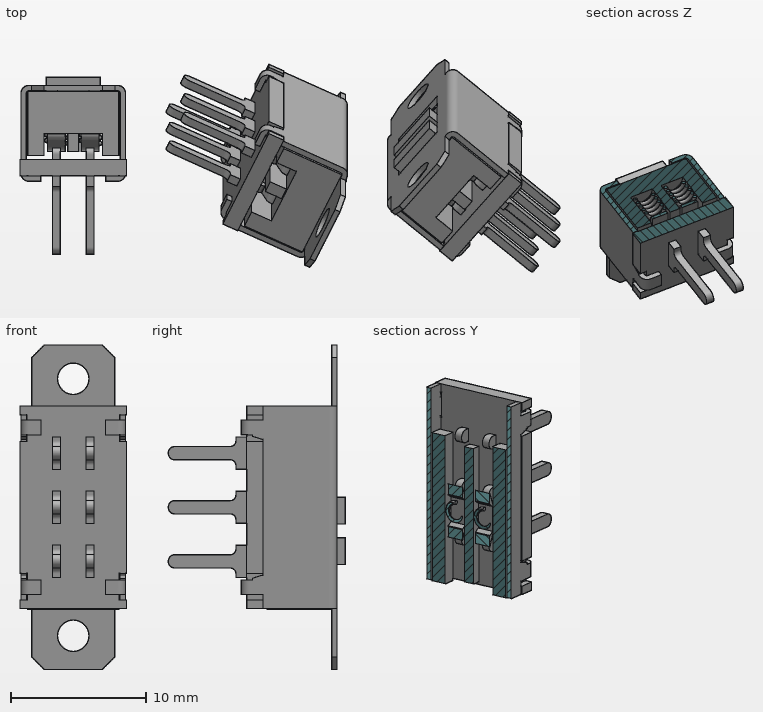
import cadquery as cq
import math


base_width = 7.9
base_length = 15.0
base_thickness = 1.22

pin_column_x = 1.25
pin_pitch = 4.0
pin_thickness = 0.6
pin_width = 1.0
pin_length = 5.8
pin_tip_radius = 0.49
pin_inner_reach = 0.85
shoulder_width = 2.4
shoulder_height = 0.8
shoulder_fillet = 0.4

sheet = 0.41
shell_width = 7.75
shell_back = 6.7
bend_radius = 0.6
ear_width = 6.15
ear_reach = 12.0
ear_chamfer = 0.93
ear_hole_diameter = 2.3
ear_hole_z = 9.5
window_width = 4.4
window_length = 8.6

tab_inner_z = 5.36
tab_outer_z = 6.46
tab_root_z = 5.0
tab_slope_end_z = 5.25
tab_slope_end_y = 0.43
tab_tip_x = 2.4
notch_inner_z = 4.88
notch_outer_z = 6.84
notch_floor_x = 3.41

slider_z = -1.75
slider_width = 6.74
slider_length = 11.6
slider_front = 1.5
slider_back = 6.25
channel_width = 4.3
channel_ceiling = 3.12
rib_width = 0.84
rib_front = 1.8
rib_inset = 0.5
knob_width = 4.0
knob_length = 5.0
knob_gap = 1.0
knob_top = 7.3

clip_width = 1.32
clip_sheet = 0.3
clip_dip_half = 0.97
clip_throat_half = 1.2
clip_dip_y = rib_front
clip_wing_start_y = 2.12
clip_wing_end_y = 2.57
clip_wing_end = 2.4
clip_tip = 2.8
clip_tip_y = 3.1

wire_diameter = 0.3
spring_diameter = 1.7
spring_pitch = 0.42
spring_turns = 5
spring_clearance = 0.05

shell_inner_x = shell_width / 2 - sheet
inner_bend_radius = bend_radius - sheet

spring_column_x = (channel_width + rib_width) / 4
clip_top = clip_dip_y + clip_sheet
spring_start = clip_top + wire_diameter / 2 + spring_clearance
pocket_floor = spring_start + spring_turns * spring_pitch + wire_diameter / 2 + spring_clearance


def box(x0, x1, y0, y1, z0, z1):
    """Axis-aligned block between two opposite corners."""
    return cq.Workplane("XY").box(x1 - x0, y1 - y0, z1 - z0, centered=False).translate((x0, y0, z0))


def side_profile(x):
    """Workplane at the given X whose sketch axes are the part's Y and Z."""
    return cq.Workplane("YZ", origin=(x, 0, 0))


def back_plane():
    """Workplane on the outer back face of the shell, extruding into the sheet."""
    return cq.Workplane("XZ", origin=(0, shell_back, 0))


def make_shell():
    half = shell_width / 2
    outer = box(-half, half, base_thickness, shell_back, -base_length / 2, base_length / 2)
    outer = outer.edges("|Z and >Y").fillet(bend_radius)
    inner_back = shell_back - sheet
    inner = box(-shell_inner_x, shell_inner_x, 0, inner_back, -base_length, base_length)
    inner = inner.edges("|Z and >Y").fillet(inner_bend_radius)
    shell = outer.cut(inner)

    ears = back_plane().rect(ear_width, 2 * ear_reach).extrude(sheet).edges("|Y").chamfer(ear_chamfer)
    hole_centers = [(0, ear_hole_z), (0, -ear_hole_z)]
    ear_holes = back_plane().pushPoints(hole_centers).circle(ear_hole_diameter / 2).extrude(sheet)
    window = back_plane().rect(window_width, window_length).extrude(sheet)
    shell = shell.union(ears).cut(ear_holes).cut(window)

    tab = make_tab()
    pair = tab.union(tab.mirror("YZ"))
    return shell.union(pair).union(pair.mirror("XY"))


def make_tab():
    """Tab of the -X wall near the +Z end, bent over the terminal face of the base."""
    wall_x = -shell_width / 2
    bend_x = wall_x + bend_radius
    diagonal = math.sqrt(0.5)
    root = (
        side_profile(wall_x)
        .moveTo(base_thickness, tab_root_z)
        .lineTo(tab_slope_end_y, tab_slope_end_z)
        .lineTo(tab_slope_end_y, tab_inner_z)
        .lineTo(inner_bend_radius, tab_inner_z)
        .lineTo(inner_bend_radius, tab_outer_z)
        .lineTo(base_thickness, tab_outer_z)
        .close()
        .extrude(sheet)
    )
    bend = (
        cq.Workplane("XY", origin=(0, 0, tab_inner_z))
        .moveTo(wall_x, inner_bend_radius)
        .threePointArc(
            (bend_x - bend_radius * diagonal, inner_bend_radius - bend_radius * diagonal), (bend_x, -sheet)
        )
        .lineTo(-tab_tip_x, -sheet)
        .lineTo(-tab_tip_x, 0)
        .lineTo(bend_x, 0)
        .threePointArc(
            (bend_x - inner_bend_radius * diagonal, inner_bend_radius - inner_bend_radius * diagonal),
            (wall_x + sheet, inner_bend_radius),
        )
        .close()
        .extrude(tab_outer_z - tab_inner_z)
    )
    return root.union(bend)


def make_pin(x, z):
    """Flat terminal with rounded ends and a filleted shoulder outside the base."""
    inner_end = base_thickness + pin_inner_reach
    blade = (
        side_profile(x)
        .center((inner_end - pin_length) / 2, 0)
        .rect(inner_end + pin_length, pin_width)
        .extrude(pin_thickness / 2, both=True)
        .edges("|X")
        .fillet(pin_tip_radius)
    )
    shoulder_mid_y = (base_thickness - shoulder_height) / 2
    shoulder = (
        side_profile(x)
        .center(shoulder_mid_y, 0)
        .rect(base_thickness + shoulder_height, shoulder_width)
        .extrude(pin_thickness / 2, both=True)
    )
    corner_zone = cq.selectors.BoxSelector(
        (x - pin_thickness, -shoulder_height - shoulder_fillet, -pin_width),
        (x + pin_thickness, -shoulder_height + shoulder_fillet, pin_width),
    )
    pin = blade.union(shoulder).edges(corner_zone).edges("|X").fillet(shoulder_fillet)
    return pin.translate((0, 0, z))


def make_base(shell):
    base = box(-base_width / 2, base_width / 2, 0, base_thickness, -base_length / 2, base_length / 2)
    for side in (-1, 1):
        for end in (-1, 1):
            notch = cq.Workplane("XY").box(
                base_width / 2 - notch_floor_x, base_thickness, notch_outer_z - notch_inner_z
            )
            notch_x = side * (base_width / 2 + notch_floor_x) / 2
            notch_z = end * (notch_inner_z + notch_outer_z) / 2
            base = base.cut(notch.translate((notch_x, base_thickness / 2, notch_z)))
    base = base.cut(shell)
    for x in (-pin_column_x, pin_column_x):
        for row in (-1, 0, 1):
            base = base.union(make_pin(x, row * pin_pitch))
    return base


def make_slider():
    z0 = slider_z - slider_length / 2
    z1 = slider_z + slider_length / 2
    slider = box(-slider_width / 2, slider_width / 2, slider_front, slider_back, z0, z1)
    slider = slider.cut(box(-channel_width / 2, channel_width / 2, slider_front, channel_ceiling, z0, z1))
    rib = box(
        -rib_width / 2, rib_width / 2, rib_front, channel_ceiling, z0 + rib_inset, z1 - rib_inset
    )
    slider = slider.union(rib)

    pocket = (
        cq.Workplane("XZ", origin=(0, pocket_floor, slider_z))
        .pushPoints([(-spring_column_x, 0), (spring_column_x, 0)])
        .circle(spring_diameter / 2 + spring_clearance)
        .extrude(pocket_floor - channel_ceiling)
    )
    slider = slider.cut(pocket)

    lug_length = (knob_length - knob_gap) / 2
    for end in (-1, 1):
        lug_z = slider_z + end * (knob_gap + lug_length) / 2
        lug = box(
            -knob_width / 2, knob_width / 2, slider_back, knob_top,
            lug_z - lug_length / 2, lug_z + lug_length / 2,
        )
        slider = slider.union(lug)
    return slider


def make_clip(x):
    """Bent strip with a central dip between two pins and wings with upturned tips."""
    wing_slope = (clip_wing_end_y - clip_wing_start_y) / (clip_wing_end - clip_throat_half)
    wing_rise = clip_sheet * math.hypot(1, wing_slope)
    tip_inner = clip_tip - clip_sheet
    inner_corner_y = clip_wing_start_y + wing_rise + wing_slope * (tip_inner - clip_throat_half)
    tip_bulge = math.sqrt(0.5)
    tip_middle = (
        clip_tip_y - tip_bulge * (clip_tip_y - clip_wing_end_y),
        clip_wing_end + tip_bulge * (clip_tip - clip_wing_end),
    )
    half_clip = (
        side_profile(x)
        .moveTo(clip_tip_y, clip_tip)
        .threePointArc(tip_middle, (clip_wing_end_y, clip_wing_end))
        .lineTo(clip_wing_start_y, clip_throat_half)
        .tangentArcPoint((clip_dip_y, clip_dip_half), relative=False)
        .lineTo(clip_dip_y, 0)
        .lineTo(clip_top, 0)
        .lineTo(clip_top, clip_dip_half)
        .lineTo(clip_wing_start_y + wing_rise, clip_throat_half)
        .lineTo(inner_corner_y, tip_inner)
        .lineTo(clip_tip_y, tip_inner)
        .close()
        .extrude(clip_width / 2, both=True)
    )
    return half_clip.union(half_clip.mirror("XY")).translate((0, 0, slider_z))


def make_spring(x):
    """Right-handed coil around Y that starts on its +Z side."""
    coil_radius = (spring_diameter - wire_diameter) / 2
    helix = cq.Wire.makeHelix(spring_pitch, spring_turns * spring_pitch, coil_radius)
    spring = (
        cq.Workplane("XZ", origin=(coil_radius, 0, 0))
        .circle(wire_diameter / 2)
        .sweep(cq.Workplane(helix), isFrenet=True)
    )
    spring = spring.rotate((0, 0, 0), (1, 0, 0), -90).rotate((0, 0, 0), (0, 1, 0), -90)
    return spring.translate((x, spring_start, slider_z))


shell = make_shell()
base = make_base(shell)
slider = make_slider()
clips = [make_clip(x) for x in (-pin_column_x, pin_column_x)]
springs = [make_spring(x) for x in (-spring_column_x, spring_column_x)]

moving_parts = [part.val() for part in clips + springs]
result = cq.Compound.makeCompound([shell.val(), base.val(), slider.val(), *moving_parts])